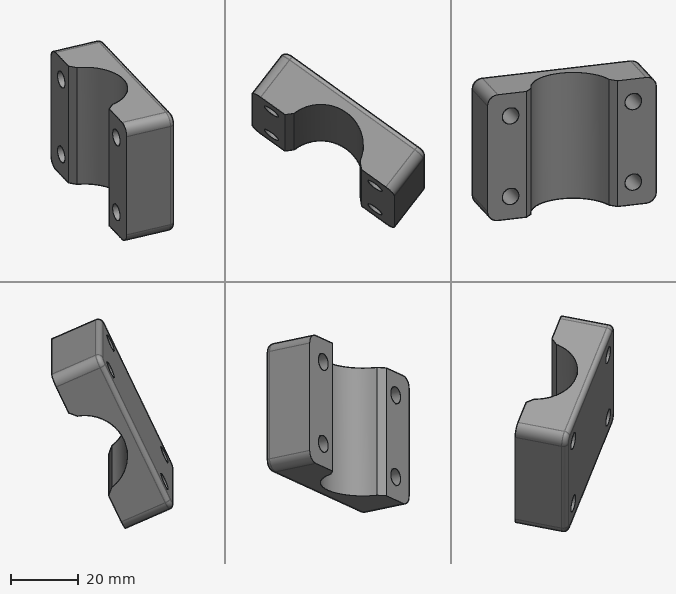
import cadquery as cq

INCH = 25.4
width = 2.0625 * INCH
depth = 0.625 * INCH
height = 1.5625 * INCH
corner_radius = 0.125 * INCH
back_edge_radius = 0.0625 * INCH

saddle_radius = 12.55
saddle_depth = 11.33
mouth_half_width = 14.1
mouth_chamfer_depth = 1.93

hole_diameter = 5.11
hole_spacing_x = 1.5 * INCH
hole_spacing_z = 1.0 * INCH


def block():
    """Block with its mating face on Y = 0 and its rounded back face on Y = depth."""
    body = cq.Workplane("XY").box(width, depth, height, centered=(True, False, True))
    body = body.edges("|Y").fillet(corner_radius)
    return body.faces(">Y").edges().fillet(back_edge_radius)


def saddle_cutter():
    """Full-height groove: a circular arc that opens through flared straight lips."""
    axis_y = saddle_depth - saddle_radius
    arc_half_width = (saddle_radius**2 - (mouth_chamfer_depth - axis_y) ** 2) ** 0.5
    return (
        cq.Workplane("XY", origin=(0, 0, -height / 2))
        .moveTo(-mouth_half_width, 0)
        .lineTo(-arc_half_width, mouth_chamfer_depth)
        .threePointArc((0, saddle_depth), (arc_half_width, mouth_chamfer_depth))
        .lineTo(mouth_half_width, 0)
        .close()
        .extrude(height)
    )


def screw_holes():
    """Four through holes on a rectangular pattern."""
    return (
        cq.Workplane("XZ")
        .rarray(hole_spacing_x, hole_spacing_z, 2, 2)
        .circle(hole_diameter / 2)
        .extrude(-depth)
    )


result = block().cut(saddle_cutter()).cut(screw_holes())